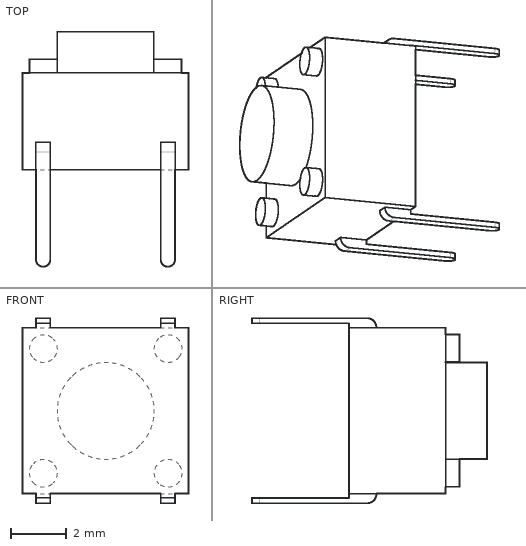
import cadquery as cq

overall_length = 8.5
body_side = 6.0
plunger_height = 1.5
plunger_diameter = 3.5
body_depth = (overall_length - plunger_height) / 2
lead_length = overall_length - plunger_height - body_depth

stud_diameter = 1.0
stud_height = 0.5
corner_offset = 2.25

lead_width = 0.53
lead_thickness = 0.195
lead_standoff = 0.35
shoulder_length = 1.0

half_side = body_side / 2


def cylinder_on_lid(points, diameter, height):
    """Round bosses rising along +Y from the lid plane at Y = 0."""
    return cq.Workplane("XZ").pushPoints(points).circle(diameter / 2).extrude(-height)


def make_lead(x_center):
    """Upper lead: a shoulder with a rounded bend, then a thin round-ended pin."""
    outer_z = half_side + lead_standoff
    inner_z = outer_z - lead_thickness
    bend_start_y = shoulder_length - body_depth
    tip_y = -body_depth - lead_length
    tip_radius = lead_width / 2
    lead = (
        cq.Workplane("YZ", origin=(x_center - lead_width / 2, 0, 0))
        .moveTo(bend_start_y, half_side)
        .radiusArc((bend_start_y - lead_standoff, outer_z), -lead_standoff)
        .lineTo(tip_y, outer_z)
        .lineTo(tip_y, inner_z)
        .lineTo(-body_depth, inner_z)
        .lineTo(-body_depth, half_side)
        .close()
        .extrude(lead_width)
    )
    outline = (
        cq.Workplane("XY", origin=(x_center, 0, half_side))
        .moveTo(-tip_radius, bend_start_y)
        .lineTo(-tip_radius, tip_y + tip_radius)
        .threePointArc((0, tip_y), (tip_radius, tip_y + tip_radius))
        .lineTo(tip_radius, bend_start_y)
        .close()
        .extrude(lead_standoff)
    )
    return lead.intersect(outline)


result = cq.Workplane("XZ").rect(body_side, body_side).extrude(body_depth)

stud_points = [(x, z) for x in (-corner_offset, corner_offset) for z in (-corner_offset, corner_offset)]
result = result.union(cylinder_on_lid([(0, 0)], plunger_diameter, plunger_height))
result = result.union(cylinder_on_lid(stud_points, stud_diameter, stud_height))

for lead_x in (-corner_offset, corner_offset):
    upper_lead = make_lead(lead_x)
    result = result.union(upper_lead).union(upper_lead.mirror("XY"))